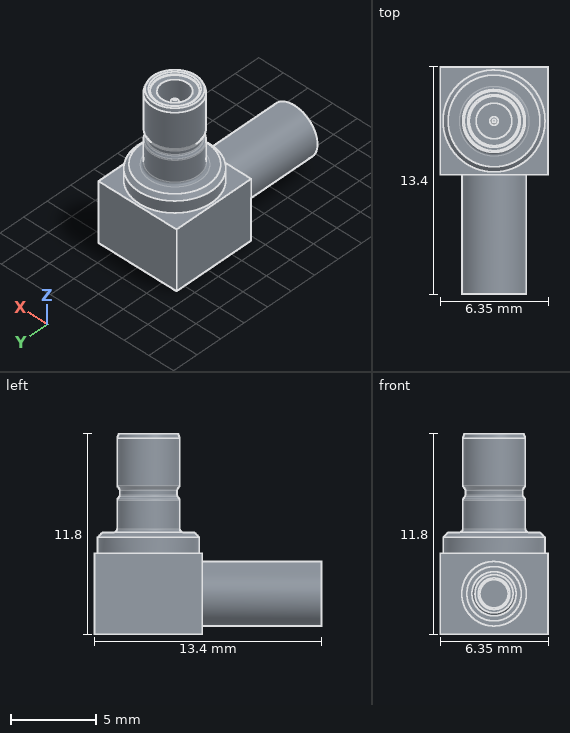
import cadquery as cq
import math


BLOCK_SIDE = 6.35
BLOCK_HEIGHT = 4.775

COLLAR_RADIUS = 3.0
COLLAR_TOP = 6.0
COLLAR_CHAMFER = 0.3

BARREL_RADIUS = 1.85
BARREL_TOP = 11.8
BARREL_ROOT_FILLET = 0.2
RIM_OUTER_RADIUS = 1.75
RIM_CHAMFER_HEIGHT = 0.26

GROOVE_MIDDLE = 8.33
GROOVE_FLOOR_RADIUS = 1.69
GROOVE_FLOOR_HALF_WIDTH = 0.18
GROOVE_MOUTH_HALF_WIDTH = 0.4
GROOVE_CORNER_FILLET = 0.15

RECESS_RADIUS = 1.45
RECESS_DEPTH = 0.17
RECESS_CHAMFER = 0.1
CONTACT_BORE_RADIUS = 1.05
CONTACT_BORE_FLOOR = COLLAR_TOP

PIN_RADIUS = 0.25
PIN_TIP_RADIUS = 0.1
PIN_TOP = 11.0
PIN_TIP_CHAMFER = PIN_RADIUS - PIN_TIP_RADIUS

TUBE_AXIS_HEIGHT = BLOCK_HEIGHT / 2
TUBE_LENGTH = 7.0
TUBE_OUTER_RADIUS = 1.9
TUBE_INNER_RADIUS = 1.6
STEM_LENGTH = 4.0
STEM_OUTER_RADIUS = 1.3
STEM_BORE_RADIUS = 0.83
STEM_TIP_RADIUS = 1.12
STEM_TAPER_LENGTH = 0.6
STEM_BORE_CHAMFER = 0.1


def upright_cylinder(radius, bottom, top):
    """Cylinder on the barrel axis between two heights."""
    return cq.Workplane("XY").workplane(offset=bottom).circle(radius).extrude(top - bottom)


def cable_cylinder(radius, length):
    """Cylinder on the cable axis, starting at the -Y face of the block."""
    origin = (0, -BLOCK_SIDE / 2, TUBE_AXIS_HEIGHT)
    return cq.Workplane("XZ", origin=origin).circle(radius).extrude(length)


def revolve_about_z(section):
    """Turn a closed section in the XZ plane a full revolution about the barrel axis."""
    return section.revolve(360, (0, 0, 0), (0, 1, 0))


def make_block():
    return cq.Workplane("XY").box(BLOCK_SIDE, BLOCK_SIDE, BLOCK_HEIGHT, centered=(True, True, False))


def make_collar():
    collar = upright_cylinder(COLLAR_RADIUS, BLOCK_HEIGHT, COLLAR_TOP)
    return collar.faces(">Z").edges().chamfer(COLLAR_CHAMFER)


def make_groove_cutter():
    """Ring whose section is the groove, reaching out to the barrel surface."""
    profile = [
        (BARREL_RADIUS, GROOVE_MIDDLE - GROOVE_MOUTH_HALF_WIDTH),
        (GROOVE_FLOOR_RADIUS, GROOVE_MIDDLE - GROOVE_FLOOR_HALF_WIDTH),
        (GROOVE_FLOOR_RADIUS, GROOVE_MIDDLE + GROOVE_FLOOR_HALF_WIDTH),
        (BARREL_RADIUS, GROOVE_MIDDLE + GROOVE_MOUTH_HALF_WIDTH),
    ]
    return revolve_about_z(cq.Workplane("XZ").polyline(profile).close())


def make_barrel():
    """Solid barrel with its rim chamfer and snap groove."""
    barrel = upright_cylinder(BARREL_RADIUS, COLLAR_TOP, BARREL_TOP)
    barrel = barrel.faces(">Z").edges().chamfer(RIM_CHAMFER_HEIGHT, BARREL_RADIUS - RIM_OUTER_RADIUS)
    barrel = barrel.cut(make_groove_cutter())
    groove_zone = cq.selectors.BoxSelector(
        (-BLOCK_SIDE, -BLOCK_SIDE, GROOVE_MIDDLE - 2 * GROOVE_MOUTH_HALF_WIDTH),
        (BLOCK_SIDE, BLOCK_SIDE, GROOVE_MIDDLE + 2 * GROOVE_MOUTH_HALF_WIDTH),
    )
    groove_corners = barrel.edges(groove_zone).edges("%CIRCLE")
    return groove_corners.fillet(GROOVE_CORNER_FILLET)


def make_root_fillet():
    """Turned foot, concave at its side, that blends the barrel into the top of the collar."""
    outer_radius = BARREL_RADIUS + BARREL_ROOT_FILLET
    top = COLLAR_TOP + BARREL_ROOT_FILLET
    arc_middle_offset = BARREL_ROOT_FILLET * math.sin(math.radians(45))
    section = (
        cq.Workplane("XZ")
        .moveTo(0, COLLAR_TOP)
        .lineTo(outer_radius, COLLAR_TOP)
        .threePointArc((outer_radius - arc_middle_offset, top - arc_middle_offset), (BARREL_RADIUS, top))
        .lineTo(0, top)
        .close()
    )
    return revolve_about_z(section)


def cut_barrel_mouth(body):
    """Cut the chamfered recess and the contact bore as one turned cavity."""
    recess_floor = BARREL_TOP - RECESS_DEPTH
    profile = [
        (0, CONTACT_BORE_FLOOR),
        (CONTACT_BORE_RADIUS, CONTACT_BORE_FLOOR),
        (CONTACT_BORE_RADIUS, recess_floor),
        (RECESS_RADIUS, recess_floor),
        (RECESS_RADIUS, BARREL_TOP - RECESS_CHAMFER),
        (RECESS_RADIUS + RECESS_CHAMFER, BARREL_TOP),
        (0, BARREL_TOP),
    ]
    return body.cut(revolve_about_z(cq.Workplane("XZ").polyline(profile).close()))


def make_pin():
    pin = upright_cylinder(PIN_RADIUS, CONTACT_BORE_FLOOR, PIN_TOP)
    return pin.faces(">Z").edges().chamfer(PIN_TIP_CHAMFER)


def make_tube():
    tube = cable_cylinder(TUBE_OUTER_RADIUS, TUBE_LENGTH)
    return tube.cut(cable_cylinder(TUBE_INNER_RADIUS, TUBE_LENGTH))


def make_stem():
    """Turned hollow stem, tapered at its tip and chamfered at the mouth of its bore."""
    base_y = -BLOCK_SIDE / 2
    tip_y = base_y - STEM_LENGTH
    profile = [
        (base_y, STEM_BORE_RADIUS),
        (base_y, STEM_OUTER_RADIUS),
        (tip_y + STEM_TAPER_LENGTH, STEM_OUTER_RADIUS),
        (tip_y, STEM_TIP_RADIUS),
        (tip_y, STEM_BORE_RADIUS + STEM_BORE_CHAMFER),
        (tip_y + STEM_BORE_CHAMFER, STEM_BORE_RADIUS),
    ]
    section = cq.Workplane("YZ", origin=(0, 0, TUBE_AXIS_HEIGHT)).polyline(profile).close()
    return section.revolve(360, (0, 0, 0), (1, 0, 0))


body = make_block().union(make_collar()).union(make_barrel()).union(make_root_fillet())
body = cut_barrel_mouth(body).union(make_pin())
result = body.union(make_tube()).union(make_stem())